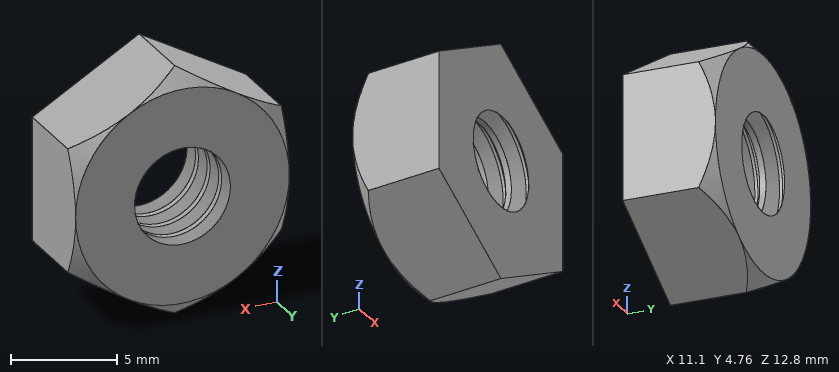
import cadquery as cq
import math

INCH = 25.4

across_flats = 7 / 16 * INCH
thickness = 3 / 16 * INCH
flat_radius = across_flats / 2
corner_radius = flat_radius / math.cos(math.pi / 6)
corner_chamfer = corner_radius - flat_radius

major_radius = 1 / 4 * INCH / 2
pitch = INCH / 20
flank_angle = math.radians(30)
crest_width = pitch / 4
root_width = pitch / 8
groove_width = pitch - crest_width
flank_width = (groove_width - root_width) / 2
thread_depth = flank_width / math.tan(flank_angle)
minor_radius = major_radius - thread_depth
groove_count = math.ceil(thickness / pitch)

AXIS_START = (0, 0, 0)
AXIS_END = (0, 1, 0)


def revolved(outline):
    """Revolve a closed (radius, Y) outline about the nut axis."""
    return cq.Workplane("XY").polyline(outline).close().revolve(360, AXIS_START, AXIS_END)


def hex_prism():
    """Hexagon with two corners on the Z axis."""
    prism = cq.Workplane("XZ").polygon(6, 2 * corner_radius).extrude(-thickness)
    return prism.rotate(AXIS_START, AXIS_END, 90)


def corner_chamfer_envelope():
    """Round blank whose 45 degree cone meets the far face at the across-flats circle."""
    return revolved([
        (0, 0),
        (corner_radius, 0),
        (corner_radius, thickness - corner_chamfer),
        (flat_radius, thickness),
        (0, thickness),
    ])


def bore():
    """Through hole at the thread's minor diameter."""
    return cq.Workplane("XZ").circle(minor_radius).extrude(-thickness)


def thread_groove(start):
    """Ring of trapezoidal section cut outward from the bore, beginning at Y = start."""
    end = start + groove_width
    return revolved([
        (0, start),
        (minor_radius, start),
        (major_radius, start + flank_width),
        (major_radius, end - flank_width),
        (minor_radius, end),
        (0, end),
    ])


nut = hex_prism().intersect(corner_chamfer_envelope()).cut(bore())
for index in range(groove_count):
    nut = nut.cut(thread_groove(index * pitch))

result = nut